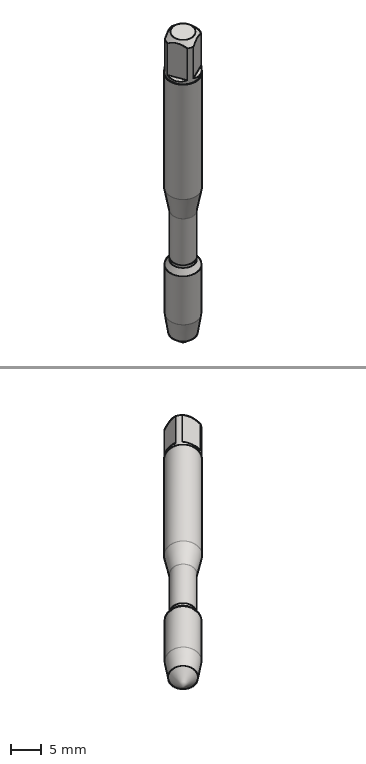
import cadquery as cq
import math

total_length = 68.2
neck_radius = 4.6 / 2

tip_base_radius = 2.45
tip_length = 2.45
thread_radius = 6.1 / 2
thread_start = 6.7
thread_end = 17.25
thread_shoulder = 18.4
head_end = 19.0

neck_end = 29.25
taper_end = 34.2
shank_radius = 6.3 / 2
shank_end = 59.4

square_radius = 6.15 / 2
square_width = 5.05
square_bottom = 60.2
floor_angle = 30.0
top_face_radius = 2.05
top_chamfer = square_radius - top_face_radius
collar_chamfer = shank_radius - square_radius


def revolve_about_z(profile):
    """Revolve a (radius, height) outline about the tap axis."""
    return cq.Workplane("XZ").polyline(profile).close().revolve(360, (0, 0, 0), (0, 1, 0))


def make_cutting_head():
    """Pointed thread section with the short stub of neck above it."""
    return revolve_about_z([
        (0, 0),
        (tip_base_radius, tip_length),
        (thread_radius, thread_start),
        (thread_radius, thread_end),
        (neck_radius, thread_shoulder),
        (neck_radius, head_end),
        (0, head_end),
    ])


def make_square_cutter():
    """Material removed beside one flat, with a sloping floor."""
    flat = square_width / 2
    outer = 2 * shank_radius
    slope_drop = (outer - flat) * math.tan(math.radians(floor_angle))
    return (
        cq.Workplane("XZ")
        .polyline([
            (flat, total_length),
            (flat, square_bottom),
            (outer, square_bottom - slope_drop),
            (outer, total_length),
        ])
        .close()
        .extrude(shank_radius, both=True)
    )


def make_shank():
    """Neck, taper and round shank ending in a chamfered driving square."""
    shank = revolve_about_z([
        (0, head_end),
        (neck_radius, head_end),
        (neck_radius, neck_end),
        (shank_radius, taper_end),
        (shank_radius, shank_end - collar_chamfer),
        (square_radius, shank_end),
        (square_radius, total_length - top_chamfer),
        (top_face_radius, total_length),
        (0, total_length),
    ])
    cutter = make_square_cutter()
    for side in range(4):
        shank = shank.cut(cutter.rotate((0, 0, 0), (0, 0, 1), 90 * side))
    return shank


cutting_head = make_cutting_head()
shank = make_shank()
result = cq.Compound.makeCompound([cutting_head.val(), shank.val()])